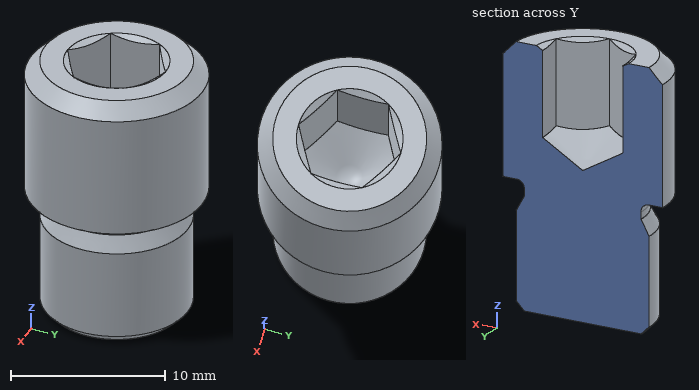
import cadquery as cq
import math

length = 18.5
head_diameter = 12.0
shank_diameter = 9.99
neck_diameter = 8.79

tip_chamfer = (shank_diameter - neck_diameter) / 2
shank_top = 6.86
neck_bottom = 7.94
fillet_bottom = 8.44
head_bottom = 9.0

head_chamfer = (head_diameter - shank_diameter) / 2
neck_fillet = head_bottom - fillet_bottom

hex_across_flats = 6.0
hex_across_corners = hex_across_flats / math.cos(math.pi / 6)
socket_depth = 6.0
lead_in_slope = math.radians(30)
drill_point_slope = math.radians(30)


def make_body():
    """Turned screw body: shank, relieved neck and chamfered head."""
    head_radius = head_diameter / 2
    shank_radius = shank_diameter / 2
    neck_radius = neck_diameter / 2
    arc_middle = neck_fillet * (1 - math.sqrt(0.5))
    return (
        cq.Workplane("XZ")
        .lineTo(shank_radius - tip_chamfer, 0)
        .lineTo(shank_radius, tip_chamfer)
        .lineTo(shank_radius, shank_top)
        .lineTo(neck_radius, neck_bottom)
        .lineTo(neck_radius, fillet_bottom)
        .threePointArc(
            (neck_radius + arc_middle, head_bottom - arc_middle),
            (neck_radius + neck_fillet, head_bottom),
        )
        .lineTo(head_radius, head_bottom)
        .lineTo(head_radius, length - head_chamfer)
        .lineTo(head_radius - head_chamfer, length)
        .lineTo(0, length)
        .close()
        .revolve(360, (0, 0, 0), (0, 1, 0))
    )


def make_cone(base_height, slope):
    """Cone pointing down, its base circle through the socket corners."""
    radius = hex_across_corners / 2
    return (
        cq.Workplane("XZ", origin=(0, 0, base_height))
        .lineTo(radius, 0)
        .lineTo(0, -radius * math.tan(slope))
        .close()
        .revolve(360, (0, 0, 0), (0, 1, 0))
    )


def make_socket():
    """Hexagon with corners along Y, a conical floor and a conical lead-in."""
    floor_height = length - socket_depth
    hexagon = (
        cq.Workplane("XY", origin=(0, 0, floor_height))
        .transformed(rotate=(0, 0, 90))
        .polygon(6, hex_across_corners)
        .extrude(socket_depth)
    )
    floor_prism = hexagon.translate((0, 0, -socket_depth))
    floor = make_cone(floor_height, drill_point_slope).intersect(floor_prism)
    lead_in = make_cone(length, lead_in_slope)
    return hexagon.union(floor).union(lead_in)


result = make_body().cut(make_socket())